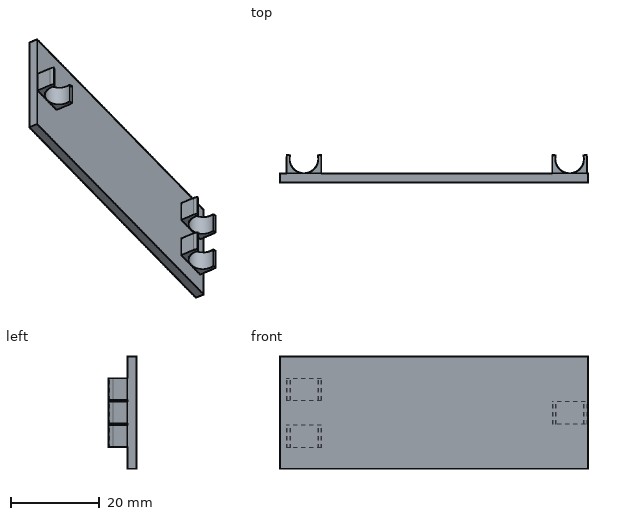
import cadquery as cq
import math

plate_length = 69.5
plate_height = 25.4
plate_thickness = 2.1

total_depth = 6.3
bore_radius = 3.2
bore_floor = 0.035
clip_radius = 3.95
clip_height = 5.0
clip_gap = 0.3
left_clip_x = -29.3
right_clip_x = 30.6

clip_pitch = clip_height + clip_gap
bore_y = plate_thickness + bore_floor + bore_radius
tip_angle = math.asin((total_depth - bore_y) / clip_radius)


def clip_point(radius, angle, side):
    """Point on a circle about the bore axis; side is +1 or -1 in X."""
    return (side * radius * math.cos(angle), bore_y + radius * math.sin(angle))


def clip():
    """Clip with straight outer walls, rounded jaws and a round bore."""
    left, right = -1, 1
    return (
        cq.Workplane("XY")
        .moveTo(-clip_radius, plate_thickness)
        .lineTo(clip_radius, plate_thickness)
        .lineTo(clip_radius, bore_y)
        .threePointArc(
            clip_point(clip_radius, tip_angle / 2, right),
            clip_point(clip_radius, tip_angle, right),
        )
        .lineTo(*clip_point(bore_radius, tip_angle, right))
        .threePointArc(
            (0, bore_y - bore_radius),
            clip_point(bore_radius, tip_angle, left),
        )
        .lineTo(*clip_point(clip_radius, tip_angle, left))
        .threePointArc(
            clip_point(clip_radius, tip_angle / 2, left),
            (-clip_radius, bore_y),
        )
        .close()
        .extrude(clip_height / 2, both=True)
    )


result = cq.Workplane("XY").box(
    plate_length, plate_thickness, plate_height, centered=(True, False, True)
)

clip_places = [
    (left_clip_x, clip_pitch),
    (left_clip_x, -clip_pitch),
    (right_clip_x, 0),
]
for clip_x, clip_z in clip_places:
    result = result.union(clip().translate((clip_x, 0, clip_z)))